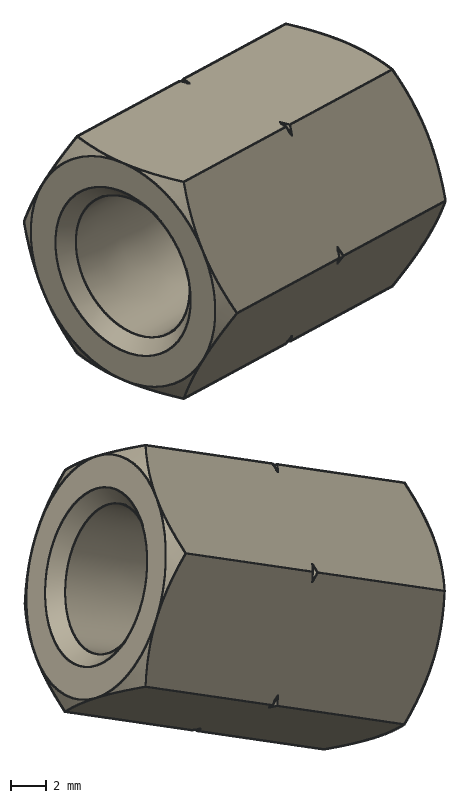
import cadquery as cq
import math

length = 19.0
across_flats = 14.0
corner_chamfer_angle = 30.0

countersink_radius = 5.13
bore_mouth_radius = 4.31
bore_taper = 1 / 16

mark_depth = 0.28
mark_half_angle = 30.0

half_length = length / 2
face_radius = across_flats / 2
corner_radius = face_radius / math.cos(math.radians(30))


def revolve_about_y(points):
    """Solid of revolution from (radius, y) points."""
    return cq.Workplane("XY").polyline(points).close().revolve(360, (0, 0, 0), (0, 1, 0))


def hexagonal_bar():
    bar = cq.Workplane("XZ").polygon(6, 2 * corner_radius)
    return bar.extrude(half_length, both=True)


def corner_chamfer_envelope():
    """Turned blank whose conical ends trim the hexagon corners."""
    outer_radius = 1.2 * corner_radius
    cone_height = (outer_radius - face_radius) * math.tan(math.radians(corner_chamfer_angle))
    shoulder = half_length - cone_height
    return revolve_about_y([
        (0, -half_length),
        (face_radius, -half_length),
        (outer_radius, -shoulder),
        (outer_radius, shoulder),
        (face_radius, half_length),
        (0, half_length),
    ])


def tapered_bore():
    mouth = half_length - (countersink_radius - bore_mouth_radius)
    middle_radius = bore_mouth_radius - mouth * bore_taper / 2
    return revolve_about_y([
        (0, -half_length),
        (countersink_radius, -half_length),
        (bore_mouth_radius, -mouth),
        (middle_radius, 0),
        (bore_mouth_radius, mouth),
        (countersink_radius, half_length),
        (0, half_length),
    ])


def corner_marks():
    """V ring deep enough to nick the corners but not the middle of the flats."""
    root_radius = corner_radius - mark_depth
    ring_radius = corner_radius + mark_depth
    half_width = (ring_radius - root_radius) * math.tan(math.radians(mark_half_angle))
    return revolve_about_y([
        (root_radius, 0),
        (ring_radius, -half_width),
        (ring_radius, half_width),
    ])


result = (
    hexagonal_bar()
    .intersect(corner_chamfer_envelope())
    .cut(tapered_bore())
    .cut(corner_marks())
)